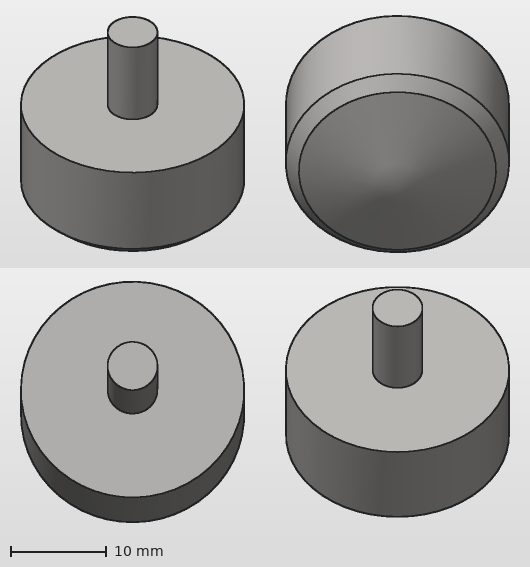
import cadquery as cq

total_height = 24.0
head_diameter = 23.3
stem_diameter = 5.2
stem_height = 9.5
chamfer_size = 1.37
tip_height = 3.07

head_radius = head_diameter / 2
stem_radius = stem_diameter / 2
cone_radius = head_radius - chamfer_size
rim_z = tip_height + chamfer_size
shoulder_z = total_height - stem_height

half_profile = (
    cq.Workplane("XZ")
    .moveTo(0, 0)
    .lineTo(cone_radius, tip_height)
    .lineTo(head_radius, rim_z)
    .lineTo(head_radius, shoulder_z)
    .lineTo(stem_radius, shoulder_z)
    .lineTo(stem_radius, total_height)
    .lineTo(0, total_height)
    .close()
)

result = half_profile.revolve(360, (0, 0, 0), (0, 1, 0))